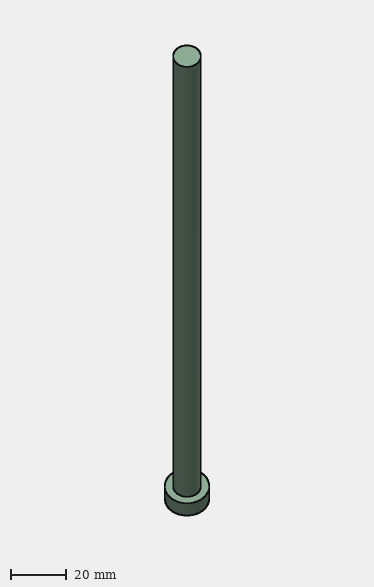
import cadquery as cq

total_length = 250.0
head_diameter = 16.0
head_height = 7.0
shank_diameter = 10.0


def make_head():
    """Flat cylindrical head standing on the XY plane."""
    return cq.Workplane("XY").circle(head_diameter / 2).extrude(head_height)


def make_shank():
    """Plain round shank running the full length on the head's axis."""
    return cq.Workplane("XY").circle(shank_diameter / 2).extrude(total_length)


result = make_head().union(make_shank())